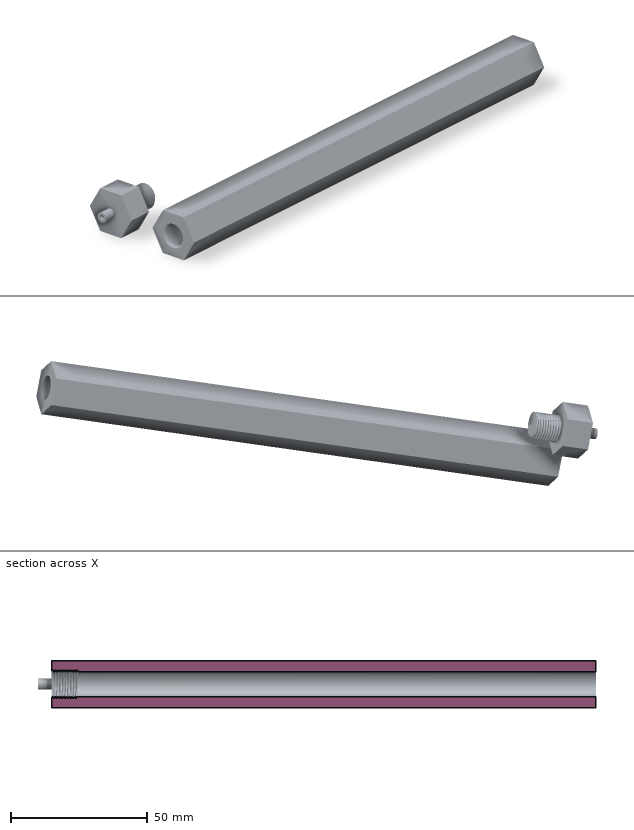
import cadquery as cq
import math

hex_across_flats = 17.32
hex_across_corners = hex_across_flats / math.cos(math.radians(30))
body_spacing = 30.0

thread_pitch = 1.0
thread_angle = 60.0
thread_length = 10.0
male_major_diameter = 9.88
male_minor_diameter = 8.74
female_major_diameter = 10.15
female_minor_diameter = 9.04
male_root_width = thread_pitch / 4
female_root_width = thread_pitch / 8
flank_slope = math.tan(math.radians(thread_angle / 2))
groove_overshoot = 0.05
thread_start_angle = 90.0

head_length = 10.0
pin_diameter = 4.0
pin_length = 5.0
pin_hole_diameter = 2.0
pin_hole_depth = pin_length

tube_length = 200.0


def facing_y(start_y, centre_x=0.0):
    """Sketch plane at start_y on a body's axis, with its normal along +Y."""
    return cq.Workplane(cq.Plane((centre_x, start_y, 0), (1, 0, 0), (0, 1, 0)))


def hexagon(start_y, length, centre_x=0.0):
    """Hexagonal prism along Y with two flats facing up and down."""
    return facing_y(start_y, centre_x).polygon(6, hex_across_corners).extrude(length)


def thread_groove(root_diameter, open_diameter, root_width, end_height):
    """Helical V groove with a flat root, wound up Z from one pitch below the origin."""
    root_radius = root_diameter / 2
    outward = math.copysign(1, open_diameter - root_diameter)
    open_radius = open_diameter / 2 + outward * groove_overshoot
    open_width = root_width + 2 * abs(open_radius - root_radius) * flank_slope
    helix = cq.Wire.makeHelix(thread_pitch, end_height + thread_pitch, root_radius)
    profile = (
        cq.Workplane("XZ")
        .moveTo(root_radius, -root_width / 2)
        .lineTo(root_radius, root_width / 2)
        .lineTo(open_radius, open_width / 2)
        .lineTo(open_radius, -open_width / 2)
        .close()
    )
    groove = profile.sweep(cq.Workplane(helix), isFrenet=True)
    return groove.translate((0, 0, -thread_pitch)).rotate((0, 0, 0), (0, 0, 1), thread_start_angle)


def lay_along_y(shape, start_y, centre_x=0.0):
    """Turn a shape built up Z from the origin so that it runs along +Y from start_y."""
    return shape.rotate((0, 0, 0), (1, 0, 0), -90).translate((centre_x, start_y, 0))


def threaded_stud():
    """Male thread rising from the origin along Z."""
    blank = cq.Workplane("XY").circle(male_major_diameter / 2).extrude(thread_length)
    groove_end = thread_length + thread_pitch
    groove = thread_groove(male_minor_diameter, male_major_diameter, male_root_width, groove_end)
    return blank.cut(groove)


def make_plug():
    """Hexagonal head with a hollow-ended pin at the front and a threaded stud at the back."""
    head = hexagon(0, head_length)
    pin = facing_y(-pin_length).circle(pin_diameter / 2).extrude(pin_length)
    pin_hole = facing_y(-pin_length).circle(pin_hole_diameter / 2).extrude(pin_hole_depth)
    return head.union(pin).cut(pin_hole).union(lay_along_y(threaded_stud(), head_length))


def make_tube():
    """Hexagonal tube with a through bore, threaded at the front end."""
    bar = hexagon(0, tube_length, body_spacing)
    bore = facing_y(0, body_spacing).circle(female_minor_diameter / 2).extrude(tube_length)
    groove = thread_groove(female_major_diameter, female_minor_diameter, female_root_width, thread_length)
    return bar.cut(bore).cut(lay_along_y(groove, 0, body_spacing))


plug = make_plug()
tube = make_tube()
result = cq.Compound.makeCompound([plug.val(), tube.val()])